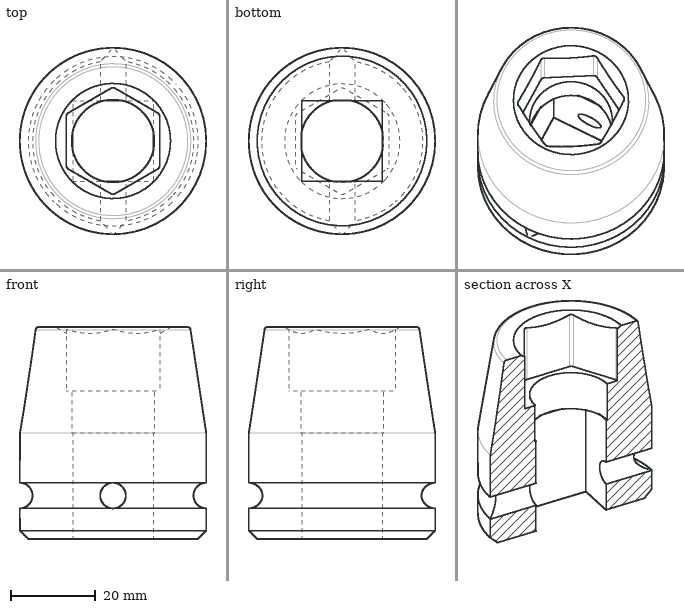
import cadquery as cq
import math

height = 50.0
body_radius = 22.0
nose_radius = 18.2
nose_rounding = 0.75
taper_start = 25.0
base_chamfer = 2.0

groove_height = 10.25
groove_radius = 3.0

hex_across_flats = 22.0
hex_corner_rounding = 1.0
hex_depth = 15.0
lead_in_diameter = 27.15
lead_in_angle = 30.0

drive_size = 19.0
drive_depth = taper_start
bore_diameter = 19.5


def make_body():
    """Revolved outside with chamfered base, tapered nose and rounded rim."""
    profile = (
        cq.Workplane("XZ")
        .lineTo(body_radius - base_chamfer, 0)
        .lineTo(body_radius, base_chamfer)
        .lineTo(body_radius, taper_start)
        .lineTo(nose_radius, height)
        .lineTo(0, height)
        .close()
    )
    return profile.revolve(360, (0, 0), (0, 1)).faces(">Z").edges().fillet(nose_rounding)


def make_groove():
    """Ring of circular section centred on the outer surface."""
    return (
        cq.Workplane("XZ")
        .center(body_radius, groove_height)
        .circle(groove_radius)
        .revolve(360, (-body_radius, 0), (-body_radius, 1))
    )


def make_pin_hole():
    """Cross hole along Y through both walls."""
    return (
        cq.Workplane("XZ")
        .center(0, groove_height)
        .circle(groove_radius)
        .extrude(body_radius, both=True)
    )


def make_hex_socket():
    """Hexagon with corners on the Y axis, its upright corners rounded."""
    across_corners = hex_across_flats / math.cos(math.radians(30))
    floor = cq.Workplane("XY").workplane(offset=height - hex_depth)
    hexagon = floor.transformed(rotate=(0, 0, 90)).polygon(6, across_corners).extrude(hex_depth)
    return hexagon.edges("|Z").fillet(hex_corner_rounding)


def make_lead_in():
    """Conical countersink at the mouth of the socket."""
    lead_in_radius = lead_in_diameter / 2
    cone_depth = lead_in_radius * math.tan(math.radians(lead_in_angle))
    return (
        cq.Workplane("XZ", origin=(0, 0, height))
        .lineTo(lead_in_radius, 0)
        .lineTo(0, -cone_depth)
        .close()
        .revolve(360, (0, 0), (0, 1))
    )


def make_drive():
    """Square drive recess from the base and the round bore above it."""
    square = cq.Workplane("XY").rect(drive_size, drive_size).extrude(drive_depth)
    bore = (
        cq.Workplane("XY")
        .workplane(offset=drive_depth)
        .circle(bore_diameter / 2)
        .extrude(height - hex_depth - drive_depth)
    )
    return square.union(bore)


result = make_body()
for cutter in (make_groove(), make_pin_hole(), make_hex_socket(), make_lead_in(), make_drive()):
    result = result.cut(cutter)